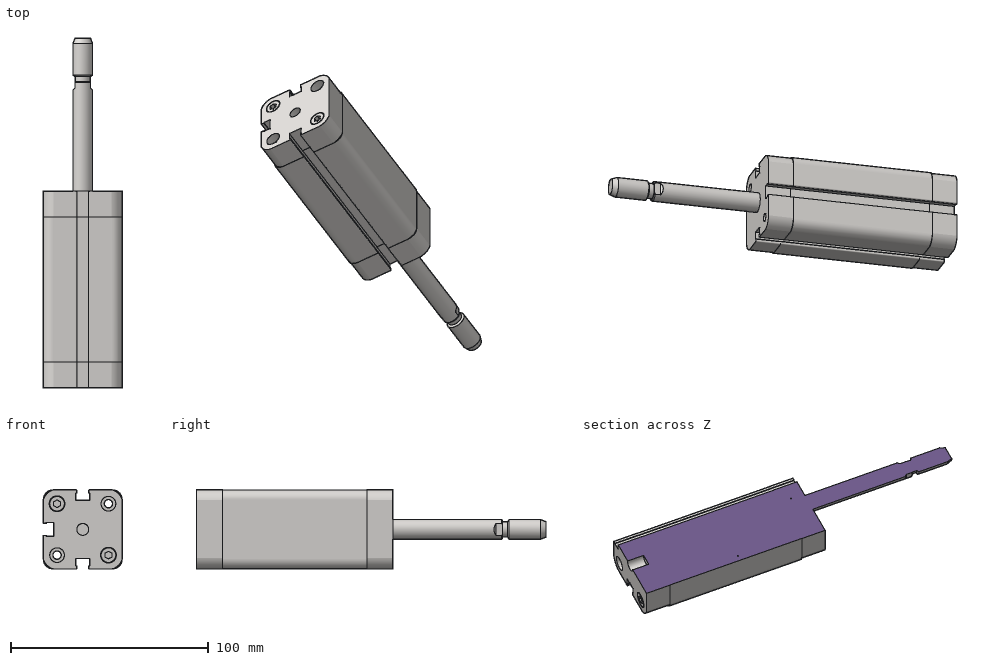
import cadquery as cq
import math

body_width = 40.2
total_length = 177.0
body_length = 99.5
cap_length = 13.1
cap_flat_width = 29.4
cap_corner_radius = 7.5
tube_corner_radius = 5.0
tube_width = 40.0
tube_length = body_length - 2 * cap_length

slot_width = 6.9
slot_opening = 6.0
slot_depth = 5.3
lip_depth = 1.6
lip_radius = (slot_width - slot_opening) / 2
slot_angles = (0, 180, 270)

center_bore_diameter = 6.0
center_bore_depth = 8.8
bolt_offset = 13.01
counterbore_diameter = 7.5
counterbore_depth = 5.3
through_hole_diameter = 4.0

screw_recess_diameter = 8.0
screw_recess_depth = 4.0
screw_head_diameter = 7.5
socket_flat_width = 3.4
socket_depth = 2.7

rod_diameter = 10.1
tip_diameter = 8.0
neck_diameter = 7.8
tip_cone_length = 2.8
thread_end = 18.8
thread_run_out = 0.7
shoulder_start = 22.0
shoulder_chamfer = 0.5
flat_end = 25.3
flat_width = 8.0


def tube():
    """Square bar with rounded long edges, between the caps."""
    bar = cq.Workplane("XY").box(tube_width, tube_length, tube_width)
    return bar.edges("|Y").fillet(tube_corner_radius).translate((0, body_length / 2, 0))


def cap(start):
    """Square end cap with arced corners, running along +Y from start."""
    side = body_width / 2
    flat = cap_flat_width / 2
    outline = cq.Workplane("XZ", origin=(0, start, 0)).moveTo(-flat, side)
    outline = outline.lineTo(flat, side).radiusArc((side, flat), cap_corner_radius)
    outline = outline.lineTo(side, -flat).radiusArc((flat, -side), cap_corner_radius)
    outline = outline.lineTo(-flat, -side).radiusArc((-side, -flat), cap_corner_radius)
    outline = outline.lineTo(-side, flat).radiusArc((-flat, side), cap_corner_radius)
    return outline.close().extrude(-cap_length)


def cylinder(diameter, length, x=0.0, z=0.0):
    """Cylinder running along +Y from the front face."""
    face = cq.Workplane("XZ").center(x, z)
    return face.circle(diameter / 2).extrude(-length)


def side_slot(angle, width, length, start):
    """Undercut slot with rounded lips in the +Z side of a bar, turned about Y."""
    half_slot = slot_width / 2
    half_opening = slot_opening / 2
    top = width / 2
    outline = cq.Workplane("XZ", origin=(0, start, 0)).moveTo(-half_slot, top)
    outline = outline.lineTo(half_slot, top)
    outline = outline.radiusArc((half_opening, top - lip_radius), -lip_radius)
    outline = outline.lineTo(half_opening, top - lip_depth)
    outline = outline.lineTo(half_slot, top - lip_depth)
    outline = outline.lineTo(half_slot, top - slot_depth)
    outline = outline.lineTo(-half_slot, top - slot_depth)
    outline = outline.lineTo(-half_slot, top - lip_depth)
    outline = outline.lineTo(-half_opening, top - lip_depth)
    outline = outline.lineTo(-half_opening, top - lip_radius)
    outline = outline.radiusArc((-half_slot, top), -lip_radius)
    return outline.close().extrude(-length).rotate((0, 0, 0), (0, 1, 0), angle)


def counterbored_hole(x, z):
    """Hole through the whole body, widened at the front face."""
    through = cylinder(through_hole_diameter, body_length, x, z)
    return through.union(cylinder(counterbore_diameter, counterbore_depth, x, z))


def screw_recess(x, z):
    """Gap around a flush screw head, together with its hexagonal socket."""
    ring = cylinder(screw_recess_diameter, screw_recess_depth, x, z)
    ring = ring.cut(cylinder(screw_head_diameter, screw_recess_depth, x, z))
    socket_diameter = socket_flat_width / math.cos(math.pi / 6)
    socket = cq.Workplane("XZ").polygon(6, socket_diameter).extrude(-socket_depth)
    socket = socket.rotate((0, 0, 0), (0, 1, 0), 90)
    return ring.union(socket.translate((x, 0, z)))


def piston_rod():
    """Turned rod with a coned tip, a neck and two wrench flats."""
    rod_radius = rod_diameter / 2
    neck_radius = neck_diameter / 2
    shoulder_y = total_length - shoulder_start
    thread_end_y = total_length - thread_end
    profile = [
        (0, body_length - cap_length),
        (rod_radius, body_length - cap_length),
        (rod_radius, shoulder_y - shoulder_chamfer),
        (rod_radius - shoulder_chamfer, shoulder_y),
        (neck_radius, shoulder_y),
        (neck_radius, thread_end_y - thread_run_out),
        (rod_radius, thread_end_y),
        (rod_radius, total_length - tip_cone_length),
        (tip_diameter / 2, total_length),
        (0, total_length),
    ]
    rod = cq.Workplane("XY").polyline(profile).close().revolve(360, (0, 0, 0), (0, 1, 0))
    flat_end_y = total_length - flat_end
    run_out = (rod_diameter - flat_width) / 2
    for side in (-1, 1):
        outline = [
            (side * flat_width / 2, shoulder_y),
            (side * flat_width / 2, flat_end_y),
            (side * (flat_width / 2 + run_out), flat_end_y - run_out),
            (side * rod_diameter, flat_end_y - run_out),
            (side * rod_diameter, shoulder_y),
        ]
        flat_cut = cq.Workplane("XY").polyline(outline).close().extrude(rod_diameter / 2, both=True)
        rod = rod.cut(flat_cut)
    return rod


rear_cap_start = body_length - cap_length
body = tube().union(cap(0)).union(cap(rear_cap_start))

for angle in slot_angles:
    body = body.cut(side_slot(angle, tube_width, tube_length, cap_length))
    for cap_start in (0, rear_cap_start):
        body = body.cut(side_slot(angle, body_width, cap_length, cap_start))

body = body.cut(cylinder(center_bore_diameter, center_bore_depth))
for side in (-1, 1):
    body = body.cut(counterbored_hole(side * bolt_offset, side * bolt_offset))
    body = body.cut(screw_recess(side * bolt_offset, -side * bolt_offset))

result = body.union(piston_rod())
result = result.translate((0, -total_length / 2, 0))